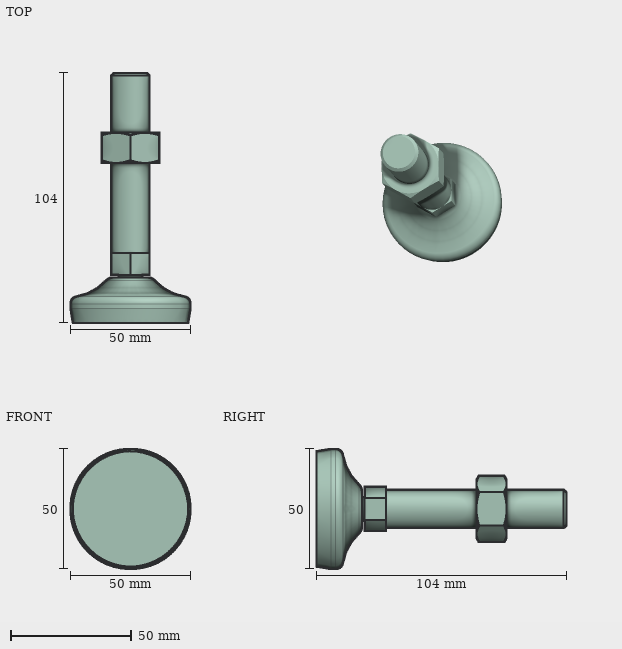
import cadquery as cq
import math


foot_radius = 25.0
base_radius = 24.0
taper_height = 6.0
rim_height = 8.0
foot_height = 19.0
shoulder_radius = 3.1
crown_radius = 4.2
crown_flat_radius = 7.1
flare_radius = 21.0

total_length = 104.0
neck_diameter = 10.0
stud_diameter = 16.0
stud_chamfer = 1.2
stud_hex_flats = 16.0
stud_hex_start = 20.0
stud_hex_length = 9.0

nut_flats = 24.0
nut_start = 66.5
nut_thickness = 12.6
nut_face_diameter = 24.0
nut_chamfer_angle = 30.0


def cylinder(diameter, start, length):
    """Round bar along +Y."""
    return cq.Workplane("XZ", origin=(0, start, 0)).circle(diameter / 2).extrude(-length)


def hexagon_corner_radius(flats):
    """Distance from the centre of a hexagon to its corners."""
    return flats / 2 / math.cos(math.pi / 6)


def hexagon(flats, start, length):
    """Hexagonal bar along +Y with two flats facing +X and -X."""
    return (
        cq.Workplane("XZ", origin=(0, start, 0))
        .transformed(rotate=(0, 0, 90))
        .polygon(6, 2 * hexagon_corner_radius(flats))
        .extrude(-length)
    )


def revolve_about_y(profile):
    """Close a half profile along the Y axis and turn it into a solid."""
    return profile.close().revolve(360, (0, 0, 0), (0, 1, 0))


def point_towards(start, target, distance):
    """Point at the given distance from start, on the line to target."""
    span = math.dist(start, target)
    return tuple(p + (q - p) * distance / span for p, q in zip(start, target))


def flare_centre(shoulder_centre, crown_centre):
    """Centre of the flare circle that touches the shoulder and crown circles from outside."""
    to_shoulder = flare_radius + shoulder_radius
    to_crown = flare_radius + crown_radius
    across = shoulder_centre[0] - crown_centre[0]
    down = shoulder_centre[1] - crown_centre[1]
    span = math.hypot(across, down)
    along = (to_crown**2 - to_shoulder**2 + span**2) / (2 * span)
    aside = math.sqrt(to_crown**2 - along**2)
    return (
        crown_centre[0] + (along * across - aside * down) / span,
        crown_centre[1] + (along * down + aside * across) / span,
    )


def make_foot():
    """Round foot: tapered wall, straight rim, rounded shoulder, concave flare and rounded crown."""
    shoulder_centre = (foot_radius - shoulder_radius, rim_height)
    crown_centre = (crown_flat_radius, foot_height - crown_radius)
    centre = flare_centre(shoulder_centre, crown_centre)
    flare_start = point_towards(shoulder_centre, centre, shoulder_radius)
    flare_end = point_towards(crown_centre, centre, crown_radius)

    profile = (
        cq.Workplane("XY")
        .lineTo(base_radius, 0)
        .lineTo(foot_radius, taper_height)
        .lineTo(foot_radius, rim_height)
        .tangentArcPoint(flare_start, relative=False)
        .tangentArcPoint(flare_end, relative=False)
        .tangentArcPoint((crown_flat_radius, foot_height), relative=False)
        .lineTo(0, foot_height)
    )
    return revolve_about_y(profile)


def make_stud():
    """Neck, wrench hexagon and plain shank with a chamfered free end."""
    hex_end = stud_hex_start + stud_hex_length
    neck = cylinder(neck_diameter, foot_height, stud_hex_start - foot_height)
    wrench_hex = hexagon(stud_hex_flats, stud_hex_start, stud_hex_length)
    shank = cylinder(stud_diameter, hex_end, total_length - hex_end)
    shank = shank.faces(">Y").chamfer(stud_chamfer)
    return neck.union(wrench_hex).union(shank)


def make_nut():
    """Hexagon nut with its corners chamfered at both ends."""
    corner_radius = hexagon_corner_radius(nut_flats)
    face_radius = nut_face_diameter / 2
    chamfer_height = (corner_radius - face_radius) * math.tan(math.radians(nut_chamfer_angle))
    nut_end = nut_start + nut_thickness
    envelope = revolve_about_y(
        cq.Workplane("XY")
        .moveTo(0, nut_start)
        .lineTo(face_radius, nut_start)
        .lineTo(corner_radius, nut_start + chamfer_height)
        .lineTo(corner_radius, nut_end - chamfer_height)
        .lineTo(face_radius, nut_end)
        .lineTo(0, nut_end)
    )
    return hexagon(nut_flats, nut_start, nut_thickness).intersect(envelope)


result = make_foot().union(make_stud()).union(make_nut())